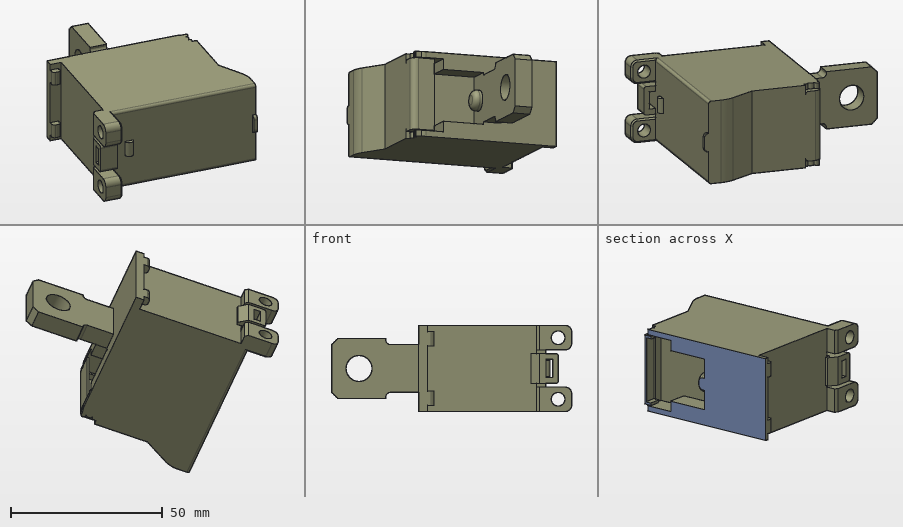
import cadquery as cq
import math


width = 28.5
depth = 42.0
floor_y = 3.9
low_top_y = 51.1
high_top_y = 57.2
ramp_start_x = 24.55
ramp_angle = 30.0
ramp_blend_radius = 9.5
rear_edge_radius = 0.95

bar_length = 28.7
bar_width = 19.8
bar_corner_chamfer = 2.0
bar_bottom_y = 19.9
bar_thickness = 5.95
bar_top_y = bar_bottom_y + bar_thickness
shoulder_x = -10.8
neck_width = 15.85
neck_fillet_radius = 1.4
bar_hole_x = -19.65
bar_hole_diameter = 8.5

cavity_depth = 8.5
cavity_width = 24.55
cavity_step_y = 40.0
cavity_top_y = 49.65
slot_width = 17.4

screw_radius = 3.5
screw_height = 2.85
screw_round_radius = 1.9

cover_width = 24.1
cover_thickness = 0.7
cover_bottom_y = 43.25
cover_end_x = 5.7
cover_bend_radius = 2.2
cover_end_radius = 0.95
cover_web_bottom_y = 48.3
cover_web_thickness = 0.95

cheek_front_y = 45.9
cheek_front_arc_middle = (0.1, 46.9)
cheek_front_arc_end_y = 47.7
cheek_setback = 0.3
cheek_top_y = 49.9
cheek_chamfer = 0.3
cheek_top_end_x = 1.3
cheek_shoulder_middle = (1.75, 49.6)
scallop_start_x = 1.9
scallop_end_x = 4.1
scallop_cusp_y = 48.9
scallop_rise = 0.55
last_scallop_middle = (4.3, 49.35)
last_scallop_end_x = 4.75
cut_overrun = 0.8

front_foot_length = 2.85
hook_end_x = 5.1
hook_height = 2.9
hook_width = 4.75
hook_center_z = 9.8
hook_radius = 1.0

ear_start_x = 38.9
ear_end_x = 50.5
ear_inner_z = 6.1
ear_height = 6.0
ear_corner_radius = 2.2
ear_top_chamfer = 0.55
ear_hole_x = 46.0
ear_hole_z = 10.1
ear_hole_diameter = 4.4

latch_tip_x = 37.0
latch_end_x = 46.1
latch_width = 9.8
latch_corner_radius = 0.8
window_end_x = 44.2
window_width = 5.95
lead_in_end_x = 39.9
lead_in_height = 2.05

rear_projection = 1.4
lip_height = 1.3
lip_width = 6.3
lip_end_radius = 1.3
rib_y = 11.9
rib_radius = 1.5
rib_width = 5.15


def prism(outline, z_size):
    """Extrude an XY outline symmetrically about the mid-plane."""
    return outline.extrude(z_size / 2, both=True)


def box(x_range, y_range, z_range):
    (x0, x1), (y0, y1), (z0, z1) = x_range, y_range, z_range
    return cq.Workplane("XY").box(x1 - x0, y1 - y0, z1 - z0, centered=False).translate((x0, y0, z0))


def centered_box(x_range, y_range, z_size):
    return box(x_range, y_range, (-z_size / 2, z_size / 2))


def y_cylinder(x, z, radius, y_start, length):
    return cq.Workplane("XZ", origin=(x, y_start, z)).circle(radius).extrude(-length)


def mirrored(shape):
    """Join a shape with its mirror image across the mid-plane."""
    return shape.union(shape.mirror("XY"))


def make_housing():
    ramp_end_x = ramp_start_x + (high_top_y - low_top_y) / math.tan(math.radians(ramp_angle))
    outline = (
        cq.Workplane("XY")
        .polyline([
            (0, 0),
            (front_foot_length, 0),
            (front_foot_length, floor_y),
            (depth, floor_y),
            (depth, high_top_y),
            (ramp_end_x, high_top_y),
            (ramp_start_x, low_top_y),
            (0, low_top_y),
        ])
        .close()
    )
    body = prism(outline, width)
    top_bend = cq.selectors.NearestToPointSelector((ramp_end_x, high_top_y, 0))
    body = body.edges("|Z").edges(top_bend).fillet(ramp_blend_radius)
    return body.faces(">X").edges("|Y").fillet(rear_edge_radius)


def make_cavity():
    upper = centered_box((0, cavity_depth), (cavity_step_y, cavity_top_y), cavity_width)
    slot = centered_box((0, cavity_depth), (bar_top_y, cavity_step_y), slot_width)
    return upper.union(slot)


def make_cover_seat():
    top = centered_box((0, cover_end_x), (cavity_top_y, low_top_y), cavity_width)
    front = centered_box((0, cover_thickness), (cavity_step_y, low_top_y), cavity_width)
    return top.union(front)


def make_cheek_cut():
    """Scalloped space above the side wall beside the cover."""
    outline = (
        cq.Workplane("XY", origin=(0, 0, cavity_width / 2))
        .moveTo(0, cheek_front_y)
        .threePointArc(cheek_front_arc_middle, (cheek_setback, cheek_front_arc_end_y))
        .lineTo(cheek_setback, cheek_top_y - cheek_chamfer)
        .lineTo(cheek_setback + cheek_chamfer, cheek_top_y)
        .lineTo(cheek_top_end_x, cheek_top_y)
        .threePointArc(cheek_shoulder_middle, (scallop_start_x, scallop_cusp_y))
        .threePointArc(
            ((scallop_start_x + scallop_end_x) / 2, scallop_cusp_y + scallop_rise),
            (scallop_end_x, scallop_cusp_y),
        )
        .threePointArc(last_scallop_middle, (last_scallop_end_x, cavity_top_y))
        .lineTo(cover_end_x, cavity_top_y)
        .lineTo(cover_end_x, low_top_y + cut_overrun)
        .lineTo(-cut_overrun, low_top_y + cut_overrun)
        .lineTo(-cut_overrun, cheek_front_y)
        .close()
    )
    return outline.extrude((width - cavity_width) / 2 + cut_overrun)


def make_cover():
    """Bent sheet whose inner corner is closed by a web at each end."""
    inner_top_y = low_top_y - cover_thickness
    cover = centered_box((0, cover_end_x), (cover_bottom_y, low_top_y), cover_width)
    cover = cover.edges("|Z and <X and >Y").fillet(cover_bend_radius)
    cover = cover.faces(">X").edges("|Y").fillet(cover_end_radius)
    hollow_x = (cover_thickness, cover_end_x)
    hollow_width = cover_width - 2 * cover_web_thickness
    hollow = centered_box(hollow_x, (cover_bottom_y, inner_top_y), hollow_width)
    hollow = hollow.edges("|Z and <X and >Y").fillet(cover_bend_radius - cover_thickness)
    below_webs = centered_box(hollow_x, (cover_bottom_y, cover_web_bottom_y), cover_width)
    return cover.cut(hollow).cut(below_webs)


def make_terminal():
    bar = centered_box((-bar_length, shoulder_x), (bar_bottom_y, bar_top_y), bar_width)
    bar = bar.faces("<X").edges("|Y").chamfer(bar_corner_chamfer)
    neck = centered_box((shoulder_x, cavity_depth), (bar_bottom_y, bar_top_y), neck_width)
    bar = bar.union(neck)
    for side in (-1, 1):
        root = cq.selectors.NearestToPointSelector((shoulder_x, bar_bottom_y, side * neck_width / 2))
        bar = bar.edges("|Y").edges(root).fillet(neck_fillet_radius)
    hole = y_cylinder(bar_hole_x, 0, bar_hole_diameter / 2, bar_bottom_y, bar_thickness)
    return bar.cut(hole)


def make_screw_head():
    head = y_cylinder(cavity_depth / 2, 0, screw_radius, bar_top_y, screw_height)
    return head.faces(">Y").edges().fillet(screw_round_radius)


def make_hook():
    z_range = (hook_center_z - hook_width / 2, hook_center_z + hook_width / 2)
    hook = box((front_foot_length, hook_end_x), (0, hook_height), z_range)
    return hook.faces(">X").edges("|Z").fillet(hook_radius)


def make_lead_in_cut():
    """Wedge removed below the sloped leading side of the ears and latch."""
    outline = (
        cq.Workplane("XY")
        .polyline([(latch_tip_x, 0), (lead_in_end_x, 0), (latch_tip_x, lead_in_height)])
        .close()
    )
    return prism(outline, width)


def make_ear():
    ear = box((ear_start_x, ear_end_x), (0, ear_height), (ear_inner_z, width / 2))
    ear = ear.faces(">X").edges("|Y").fillet(ear_corner_radius)
    ear = ear.faces(">Y").chamfer(ear_top_chamfer)
    return ear.cut(y_cylinder(ear_hole_x, ear_hole_z, ear_hole_diameter / 2, 0, ear_height))


def make_latch():
    tooth = centered_box((latch_tip_x, depth), (0, hook_height), latch_width)
    plate = centered_box((ear_start_x, latch_end_x), (0, ear_height), latch_width)
    plate = plate.faces(">X").edges("|Y").fillet(latch_corner_radius)
    window = centered_box((depth, window_end_x), (0, ear_height), window_width)
    return tooth.union(plate).cut(window)


def make_latch_slot():
    """Clearance between the ears in which the latch sits."""
    return centered_box((ear_start_x, depth), (floor_y, ear_height), 2 * ear_inner_z)


def make_lip():
    lip = centered_box((depth, depth + rear_projection), (high_top_y - lip_height, high_top_y), lip_width)
    return lip.faces(">X").edges("|Y").fillet(lip_end_radius)


def make_rib():
    center_x = depth + rear_projection - rib_radius
    return prism(cq.Workplane("XY").center(center_x, rib_y).circle(rib_radius), rib_width)


mounting_feet = mirrored(make_ear()).union(make_latch()).cut(make_lead_in_cut())

result = (
    make_housing()
    .cut(make_cavity())
    .cut(make_cover_seat())
    .cut(mirrored(make_cheek_cut()))
    .cut(make_latch_slot())
    .union(make_cover())
    .union(make_terminal())
    .union(make_screw_head())
    .union(mirrored(make_hook()))
    .union(mounting_feet)
    .union(make_lip())
    .union(make_rib())
)